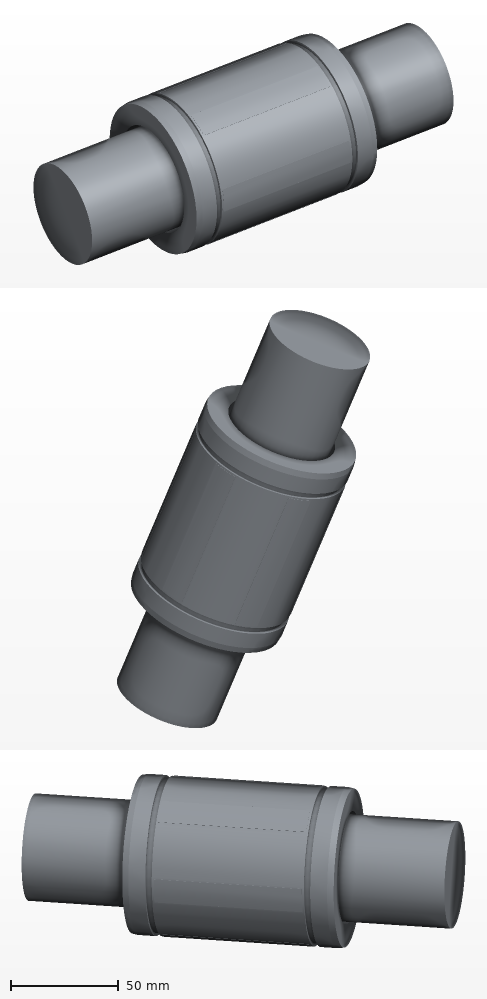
import cadquery as cq

SHAFT_LENGTH = 200.0
SHAFT_DIAMETER = 50.0

SLEEVE_LENGTH = 100.0
COLLAR_DIAMETER = 75.0
COLLAR_LENGTH = 11.0
TAPER_LENGTH = 3.0
TAPER_END_DIAMETER = 74.0
GROOVE_DIAMETER = 72.0
GROOVE_WIDTH = 3.0
STRIP_HEIGHT = 0.15
BODY_DIAMETER = COLLAR_DIAMETER - 2 * STRIP_HEIGHT
BODY_LENGTH = SLEEVE_LENGTH - 2 * (COLLAR_LENGTH + GROOVE_WIDTH)

CLEARANCE_DIAMETER = 53.0
CLEARANCE_DEPTH = COLLAR_LENGTH

STRIP_COUNT = 6
STRIP_WIDTH = 12.0
STRIP_END_MARGIN = 1.0
STRIP_LENGTH = BODY_LENGTH - 2 * STRIP_END_MARGIN
FIRST_STRIP_ANGLE = 23.2


def cylinder(diameter, length, start=None):
    """Cylinder along +Y; centred on the origin unless a start is given."""
    start_y = -length / 2 if start is None else start
    plane = cq.Workplane("XZ", origin=(0, start_y, 0))
    return plane.circle(diameter / 2).extrude(-length)


def make_sleeve():
    """Revolved sleeve: a tapered collar and a groove at each end of the body."""
    end = SLEEVE_LENGTH / 2
    taper_start = end - TAPER_LENGTH
    collar_start = end - COLLAR_LENGTH
    body_end = BODY_LENGTH / 2
    half_outline = [
        (BODY_DIAMETER / 2, body_end),
        (GROOVE_DIAMETER / 2, body_end),
        (GROOVE_DIAMETER / 2, collar_start),
        (COLLAR_DIAMETER / 2, collar_start),
        (COLLAR_DIAMETER / 2, taper_start),
        (TAPER_END_DIAMETER / 2, end),
        (0, end),
    ]
    mirrored_outline = [(radius, -y) for radius, y in reversed(half_outline)]
    outline = cq.Workplane("XY").polyline(half_outline + mirrored_outline).close()
    return outline.revolve(360, (0, 0, 0), (0, 1, 0))


def make_strip(angle):
    """Strip with a cylindrical top, flush with the collars."""
    radius = COLLAR_DIAMETER / 2
    block = cq.Workplane("XY").box(STRIP_WIDTH, STRIP_LENGTH, radius, centered=(True, True, False))
    strip = block.intersect(cylinder(COLLAR_DIAMETER, STRIP_LENGTH))
    return strip.rotate((0, 0, 0), (0, 1, 0), angle)


result = make_sleeve()
for index in range(STRIP_COUNT):
    result = result.union(make_strip(FIRST_STRIP_ANGLE + index * 360 / STRIP_COUNT))

for clearance_start in (-SLEEVE_LENGTH / 2, SLEEVE_LENGTH / 2 - CLEARANCE_DEPTH):
    result = result.cut(cylinder(CLEARANCE_DIAMETER, CLEARANCE_DEPTH, clearance_start))

result = result.union(cylinder(SHAFT_DIAMETER, SHAFT_LENGTH))